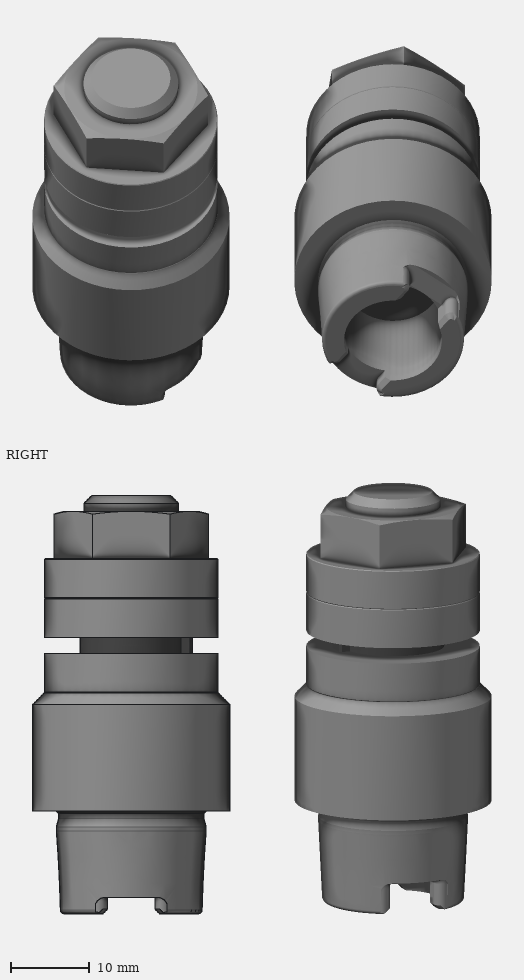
import cadquery as cq
import math

TOTAL_HEIGHT = 53.0
SCREW_PROJECTION = 2.0
NUT_HEIGHT = 6.0
NUT_TOP_Z = TOTAL_HEIGHT - SCREW_PROJECTION
NUT_BOTTOM_Z = NUT_TOP_Z - NUT_HEIGHT
WASHER_THICKNESS = 5.0
WASHER_SEAM_Z = NUT_BOTTOM_Z - WASHER_THICKNESS
WASHER_STACK_BOTTOM_Z = WASHER_SEAM_Z - WASHER_THICKNESS
WASHER_GAP = 2.0
COLLAR_TOP_Z = WASHER_STACK_BOTTOM_Z - WASHER_GAP
COLLAR_BOTTOM_Z = COLLAR_TOP_Z - WASHER_THICKNESS
BODY_BOTTOM_Z = 13.0

SCREW_DIAMETER = 12.0
SCREW_CHAMFER = 1.0
NUT_SIDES = 6
NUT_ACROSS_FLATS = 17.0
NUT_FACE_DIAMETER = 16.9
NUT_CHAMFER_ANGLE = 15.0
SPINDLE_DIAMETER = 13.0

WASHER_DIAMETER = 22.0
WASHER_CHAMFER = 0.1
BODY_DIAMETER = 25.0

KEY_WIDTH = 3.0
KEY_TOP_Y = 7.75
KEY_CHAMFER = 0.3

NECK_DIAMETER = 18.4
NECK_BOTTOM_Z = 12.1
NECK_CHAMFER = 0.3
GAUGE_DIAMETER = 19.0
GAUGE_TOP_Z = 11.0
GAUGE_BOTTOM_Z = 10.5
TAPER_RATIO = 0.1
FOOT_FILLET = 0.5
BORE_DIAMETER = 12.4
BORE_DEPTH = BODY_BOTTOM_Z

SLOT_WIDTH = 6.0
SLOT_EDGE_RADIUS = 1.0
SLOT_EDGE_CENTER_X = 6.85
MOUTH_ANGLE = math.radians(30)
SLOT_CORNER_WIDTH = SLOT_EDGE_RADIUS * (1 + math.sin(MOUTH_ANGLE))
SLOT_CORNER_HEIGHT = 0.75
SLOT_FOOT_CHAMFER = 0.6
SLOT_FOOT_ANGLE = 45.0
DEEP_SLOT_ROOF_Z = 4.1
DEEP_SLOT_ROOF_DROP = 0.6
ROOF_SLOPE_X = 8.6
SHALLOW_SLOT_ROOF_Z = 2.05

HALF_TURN = 180.0
REACH = BODY_DIAMETER / 2


def turned_profile():
    """Half section of all turned steps, from the foot up to the screw tip."""
    washer_radius = WASHER_DIAMETER / 2
    chamfer_radius = washer_radius - WASHER_CHAMFER
    body_radius = BODY_DIAMETER / 2
    spindle_radius = SPINDLE_DIAMETER / 2
    screw_radius = SCREW_DIAMETER / 2
    neck_radius = NECK_DIAMETER / 2
    gauge_radius = GAUGE_DIAMETER / 2
    foot_radius = gauge_radius - TAPER_RATIO * GAUGE_BOTTOM_Z / 2
    shoulder_z = COLLAR_BOTTOM_Z - (body_radius - washer_radius)
    return (
        cq.Workplane("XZ")
        .moveTo(0, 0)
        .lineTo(foot_radius, 0)
        .lineTo(gauge_radius, GAUGE_BOTTOM_Z)
        .lineTo(gauge_radius, GAUGE_TOP_Z)
        .lineTo(neck_radius, NECK_BOTTOM_Z)
        .lineTo(neck_radius, BODY_BOTTOM_Z - NECK_CHAMFER)
        .lineTo(neck_radius + NECK_CHAMFER, BODY_BOTTOM_Z)
        .lineTo(body_radius, BODY_BOTTOM_Z)
        .lineTo(body_radius, shoulder_z)
        .lineTo(washer_radius, COLLAR_BOTTOM_Z)
        .lineTo(chamfer_radius, COLLAR_BOTTOM_Z)
        .lineTo(washer_radius, COLLAR_BOTTOM_Z + WASHER_CHAMFER)
        .lineTo(washer_radius, COLLAR_TOP_Z)
        .lineTo(spindle_radius, COLLAR_TOP_Z)
        .lineTo(spindle_radius, WASHER_STACK_BOTTOM_Z)
        .lineTo(washer_radius, WASHER_STACK_BOTTOM_Z)
        .lineTo(washer_radius, WASHER_SEAM_Z - WASHER_CHAMFER)
        .lineTo(chamfer_radius, WASHER_SEAM_Z)
        .lineTo(washer_radius, WASHER_SEAM_Z + WASHER_CHAMFER)
        .lineTo(washer_radius, NUT_BOTTOM_Z - WASHER_CHAMFER)
        .lineTo(chamfer_radius, NUT_BOTTOM_Z)
        .lineTo(screw_radius, NUT_BOTTOM_Z)
        .lineTo(screw_radius, TOTAL_HEIGHT - SCREW_CHAMFER)
        .lineTo(screw_radius - SCREW_CHAMFER, TOTAL_HEIGHT)
        .lineTo(0, TOTAL_HEIGHT)
        .close()
    )


def turned_body():
    return turned_profile().revolve(2 * HALF_TURN, (0, 0, 0), (0, 1, 0))


def hex_nut():
    """Hexagon with flats facing +X and -X, its top corners turned off by a shallow cone."""
    corner_diameter = NUT_ACROSS_FLATS / math.cos(math.pi / NUT_SIDES)
    hexagon = (
        cq.Workplane("XY")
        .workplane(offset=NUT_BOTTOM_Z)
        .polygon(NUT_SIDES, corner_diameter)
        .extrude(NUT_HEIGHT)
        .rotate((0, 0, 0), (0, 0, 1), HALF_TURN / NUT_SIDES)
    )
    face_radius = NUT_FACE_DIAMETER / 2
    rim_radius = BODY_DIAMETER / 2
    rim_drop = (rim_radius - face_radius) * math.tan(math.radians(NUT_CHAMFER_ANGLE))
    envelope = (
        cq.Workplane("XZ")
        .moveTo(0, NUT_BOTTOM_Z)
        .lineTo(rim_radius, NUT_BOTTOM_Z)
        .lineTo(rim_radius, NUT_TOP_Z - rim_drop)
        .lineTo(face_radius, NUT_TOP_Z)
        .lineTo(0, NUT_TOP_Z)
        .close()
        .revolve(2 * HALF_TURN, (0, 0, 0), (0, 1, 0))
    )
    return hexagon.intersect(envelope)


def spindle_key():
    """Key bridging the gap between collar and washers."""
    return (
        cq.Workplane("XY")
        .workplane(offset=COLLAR_TOP_Z)
        .center(0, KEY_TOP_Y / 2)
        .rect(KEY_WIDTH, KEY_TOP_Y)
        .extrude(WASHER_STACK_BOTTOM_Z - COLLAR_TOP_Z)
        .edges("|Z and >Y")
        .chamfer(KEY_CHAMFER)
    )


def slot_plan(height, foot_offset=0.0, taper=0.0):
    """Slot seen from above: straight walls that round over to a wider mouth on the +X side."""
    wall_y = SLOT_WIDTH / 2 + foot_offset
    radius = SLOT_EDGE_RADIUS - foot_offset
    center_y = wall_y + radius
    middle_angle = (MOUTH_ANGLE - math.pi / 2) / 2
    middle_x = SLOT_EDGE_CENTER_X + radius * math.cos(middle_angle)
    middle_y = center_y + radius * math.sin(middle_angle)
    mouth_x = SLOT_EDGE_CENTER_X + radius * math.cos(MOUTH_ANGLE)
    mouth_y = center_y + radius * math.sin(MOUTH_ANGLE)
    return (
        cq.Workplane("XY")
        .moveTo(0, -wall_y)
        .lineTo(SLOT_EDGE_CENTER_X, -wall_y)
        .threePointArc((middle_x, -middle_y), (mouth_x, -mouth_y))
        .lineTo(REACH, -mouth_y)
        .lineTo(REACH, mouth_y)
        .lineTo(mouth_x, mouth_y)
        .threePointArc((middle_x, middle_y), (SLOT_EDGE_CENTER_X, wall_y))
        .lineTo(0, wall_y)
        .close()
        .extrude(height, taper=taper)
    )


def slot_front(roof_z):
    """Slot seen along X: upright sides under a flat roof with rounded corners."""
    flat_y = SLOT_WIDTH / 2
    mouth_y = flat_y + SLOT_CORNER_WIDTH
    corner_z = roof_z - SLOT_CORNER_HEIGHT
    middle_y = flat_y + SLOT_CORNER_WIDTH * math.sin(math.pi / 4)
    middle_z = corner_z + SLOT_CORNER_HEIGHT * math.sin(math.pi / 4)
    return (
        cq.Workplane("YZ")
        .moveTo(-mouth_y, 0)
        .lineTo(-mouth_y, corner_z)
        .threePointArc((-middle_y, middle_z), (-flat_y, roof_z))
        .lineTo(flat_y, roof_z)
        .threePointArc((middle_y, middle_z), (mouth_y, corner_z))
        .lineTo(mouth_y, 0)
        .close()
        .extrude(REACH)
    )


def slot_side(roof_z, roof_drop):
    """Slot seen along Y: the roof slopes from the mouth down to the bore."""
    return (
        cq.Workplane("XZ")
        .lineTo(REACH, 0)
        .lineTo(REACH, roof_z)
        .lineTo(ROOF_SLOPE_X, roof_z)
        .lineTo(BORE_DIAMETER / 2, roof_z - roof_drop)
        .lineTo(0, roof_z - roof_drop)
        .close()
        .extrude(REACH, both=True)
    )


def deep_slot():
    """Drive slot on the -X side."""
    slot = slot_plan(DEEP_SLOT_ROOF_Z).intersect(slot_front(DEEP_SLOT_ROOF_Z))
    slot = slot.intersect(slot_side(DEEP_SLOT_ROOF_Z, DEEP_SLOT_ROOF_DROP))
    return slot.rotate((0, 0, 0), (0, 0, 1), HALF_TURN)


def shallow_slot():
    """Drive slot on the +X side."""
    return slot_plan(SHALLOW_SLOT_ROOF_Z).intersect(slot_front(SHALLOW_SLOT_ROOF_Z))


def slot_foot_chamfers():
    """Wedges that bevel the lower edges of both slots."""
    wedge = slot_plan(SLOT_FOOT_CHAMFER, SLOT_FOOT_CHAMFER, SLOT_FOOT_ANGLE)
    return wedge.union(wedge.rotate((0, 0, 0), (0, 0, 1), HALF_TURN))


def slotted_shank():
    """Turned body with its rounded foot, bore and two drive slots."""
    bore = cq.Workplane("XY").circle(BORE_DIAMETER / 2).extrude(BORE_DEPTH)
    shank = turned_body().faces("<Z").edges().fillet(FOOT_FILLET)
    return shank.cut(bore).cut(deep_slot()).cut(shallow_slot()).cut(slot_foot_chamfers())


result = slotted_shank().union(hex_nut()).union(spindle_key())